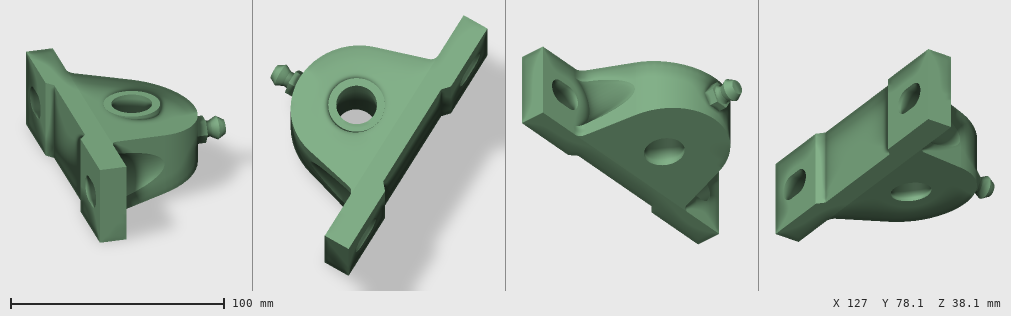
import cadquery as cq
import math

BASE_LENGTH = 127.0
BASE_THICKNESS = 13.0
BASE_WIDTH = 38.1

RELIEF_OUTER_WIDTH = 60.2
RELIEF_INNER_WIDTH = 53.1
RELIEF_DEPTH = 3.2

SLOT_SPACING = 95.2
SLOT_WIDTH = 12.6
SLOT_LENGTH = 18.7
CLEARANCE_RADIUS = 14.6

BORE_HEIGHT = 33.4
HEAD_RADIUS = 30.9
FLANK_ANGLE = math.radians(15)
FOOT_FILLET = 3.8
HEAD_TOP = BORE_HEIGHT + HEAD_RADIUS
HEAD_TOP_WIDTH = 24.0

BOSS_DIAMETER = 26.5
BORE_DIAMETER = 19.0
BOSS_TOP = 18.2

HEX_ACROSS_FLATS = 11.2
HEX_ACROSS_CORNERS = HEX_ACROSS_FLATS / math.cos(math.pi / 6)
HEX_BOTTOM = 63.5
HEX_TOP = 68.6
FLARE_RADIUS = 4.7
NECK_RADIUS = 3.8
NECK_BOTTOM = 70.4
NECK_TOP = 71.1
RIM_RADIUS = 5.6
RIM_HEIGHT = 74.5
TIP_RADIUS = 3.5
TIP_HEIGHT = 78.1


def make_base():
    """Plate with a chamfer-sided relief along its mounting face."""
    half_length = BASE_LENGTH / 2
    half_outer = RELIEF_OUTER_WIDTH / 2
    half_inner = RELIEF_INNER_WIDTH / 2
    outline = [
        (-half_length, 0),
        (-half_outer, 0),
        (-half_inner, RELIEF_DEPTH),
        (half_inner, RELIEF_DEPTH),
        (half_outer, 0),
        (half_length, 0),
        (half_length, BASE_THICKNESS),
        (-half_length, BASE_THICKNESS),
    ]
    return cq.Workplane("XY").polyline(outline).close().extrude(BASE_WIDTH / 2, both=True)


def make_pedestal():
    """Round-headed profile with filleted feet, thinned towards its top."""
    tangent_x = HEAD_RADIUS * math.cos(FLANK_ANGLE)
    tangent_y = BORE_HEIGHT + HEAD_RADIUS * math.sin(FLANK_ANGLE)
    foot_x = tangent_x + (tangent_y - BASE_THICKNESS) * math.tan(FLANK_ANGLE)

    fillet_reach = FOOT_FILLET * math.tan(math.pi / 4 - FLANK_ANGLE / 2)
    fillet_x = foot_x + fillet_reach
    flank_x = foot_x - fillet_reach * math.sin(FLANK_ANGLE)
    flank_y = BASE_THICKNESS + fillet_reach * math.cos(FLANK_ANGLE)

    middle_angle = math.pi / 4 + FLANK_ANGLE / 2
    middle_x = fillet_x - FOOT_FILLET * math.cos(middle_angle)
    middle_y = BASE_THICKNESS + FOOT_FILLET * (1 - math.sin(middle_angle))
    profile = (
        cq.Workplane("XY")
        .moveTo(-fillet_x, BASE_THICKNESS)
        .threePointArc((-middle_x, middle_y), (-flank_x, flank_y))
        .lineTo(-tangent_x, tangent_y)
        .threePointArc((0, HEAD_TOP), (tangent_x, tangent_y))
        .lineTo(flank_x, flank_y)
        .threePointArc((middle_x, middle_y), (fillet_x, BASE_THICKNESS))
        .close()
        .extrude(BASE_WIDTH / 2, both=True)
    )
    taper = (
        cq.Workplane("YZ")
        .polyline([
            (BASE_THICKNESS, -BASE_WIDTH / 2),
            (HEAD_TOP, -HEAD_TOP_WIDTH / 2),
            (HEAD_TOP, HEAD_TOP_WIDTH / 2),
            (BASE_THICKNESS, BASE_WIDTH / 2),
        ])
        .close()
        .extrude(BASE_LENGTH / 2, both=True)
    )
    return profile.intersect(taper)


def make_slots(width, length, bottom, top):
    """Pair of slot-shaped cutters running along Y, long in X."""
    return (
        cq.Workplane("XZ", origin=(0, bottom, 0))
        .pushPoints([(-SLOT_SPACING / 2, 0), (SLOT_SPACING / 2, 0)])
        .slot2D(length, width)
        .extrude(bottom - top)
    )


def make_nipple():
    """Hexagon seat carrying a necked, double-coned grease head."""
    hexagon = (
        cq.Workplane("XZ", origin=(0, HEX_BOTTOM, 0))
        .polygon(6, HEX_ACROSS_CORNERS)
        .extrude(HEX_BOTTOM - HEX_TOP)
    )
    head = (
        cq.Workplane("XY")
        .moveTo(0, HEX_TOP)
        .lineTo(0, TIP_HEIGHT)
        .lineTo(TIP_RADIUS, TIP_HEIGHT)
        .lineTo(RIM_RADIUS, RIM_HEIGHT)
        .lineTo(NECK_RADIUS, NECK_TOP)
        .lineTo(NECK_RADIUS, NECK_BOTTOM)
        .tangentArcPoint((FLARE_RADIUS, HEX_TOP), relative=False)
        .close()
        .revolve(360, (0, 0, 0), (0, 1, 0))
    )
    return hexagon.union(head)


def make_housing(nipple):
    """Pedestal on its base, with boss, bore, slots and a seat for the nipple."""
    straight_length = SLOT_LENGTH - SLOT_WIDTH
    clearance_width = 2 * CLEARANCE_RADIUS
    clearance_length = straight_length + clearance_width
    clearances = make_slots(clearance_width, clearance_length, BASE_THICKNESS, HEAD_TOP)
    slots = make_slots(SLOT_WIDTH, SLOT_LENGTH, 0, BASE_THICKNESS)

    bore_axis = cq.Workplane("XY", origin=(0, BORE_HEIGHT, 0))
    boss = bore_axis.circle(BOSS_DIAMETER / 2).extrude(BOSS_TOP)
    bore = bore_axis.circle(BORE_DIAMETER / 2).extrude(BASE_WIDTH, both=True)

    pedestal = make_pedestal().cut(clearances)
    return make_base().union(pedestal).union(boss).cut(slots).cut(bore).cut(nipple)


nipple = make_nipple()
housing = make_housing(nipple)
result = cq.Compound.makeCompound([*housing.solids().vals(), *nipple.solids().vals()])